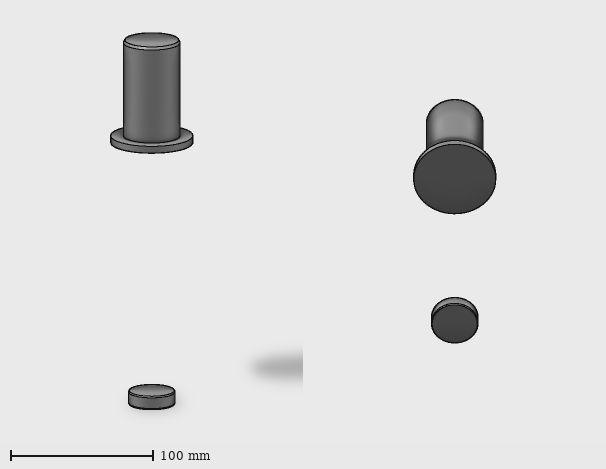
import cadquery as cq

total_height = 265.5

flange_diameter = 58.0
flange_thickness = 5.0
shank_diameter = 40.0
pin_height = 75.0
pin_chamfer_height = 2.0
pin_chamfer_inset = 1.15

disc_diameter = 33.0
disc_thickness = 9.8
disc_chamfer_height = 1.0
disc_chamfer_inset = 0.58


def make_pin():
    """Round shank with a thin flange at its foot and a chamfered top end."""
    flange_bottom = total_height - pin_height
    shank = (
        cq.Workplane("XY", origin=(0, 0, flange_bottom))
        .circle(shank_diameter / 2)
        .extrude(pin_height)
        .faces(">Z")
        .chamfer(pin_chamfer_height, pin_chamfer_inset)
    )
    flange = (
        cq.Workplane("XY", origin=(0, 0, flange_bottom))
        .circle(flange_diameter / 2)
        .extrude(flange_thickness)
    )
    return shank.union(flange)


def make_disc():
    """Short disc with both rims chamfered."""
    return (
        cq.Workplane("XY")
        .circle(disc_diameter / 2)
        .extrude(disc_thickness)
        .faces("<Z or >Z")
        .chamfer(disc_chamfer_height, disc_chamfer_inset)
    )


pin = make_pin()
disc = make_disc()

result = cq.Compound.makeCompound([pin.val(), disc.val()])